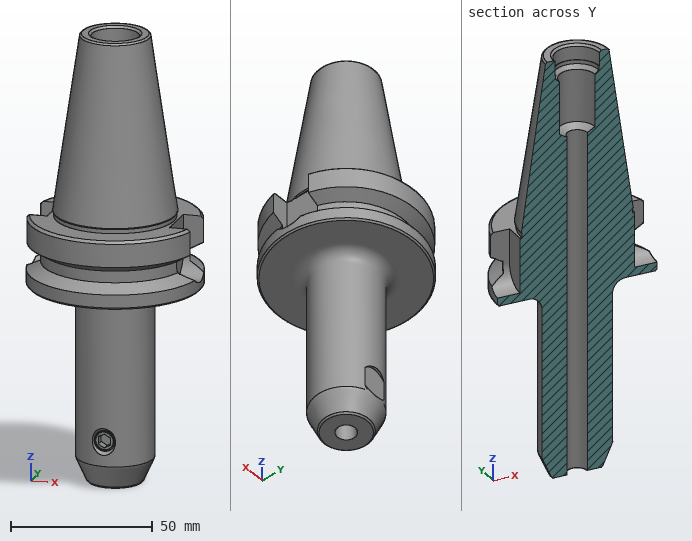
import cadquery as cq
import math

TOTAL_HEIGHT = 165.4
GAUGE_Z = 100.0
FLANGE_TOP_Z = 98.0
FLANGE_BOTTOM_Z = 73.0

TAPER_RATIO = 7 / 24
GAUGE_RADIUS = 22.2
TAPER_TOP_RADIUS = GAUGE_RADIUS - (TOTAL_HEIGHT - GAUGE_Z) * TAPER_RATIO / 2
TAPER_EDGE_CHAMFER = 0.7
RELIEF_RADIUS = 21.8
RELIEF_TOP_Z = GAUGE_Z - 0.5

FLANGE_DIAMETER = 63.0
FLANGE_RADIUS = FLANGE_DIAMETER / 2
UPPER_RIM_RADIUS = 31.3
RIM_CHAMFER = 1.0
LOWER_EDGE_CHAMFER = 0.7
GROOVE_RADIUS = 26.5
GROOVE_TOP_Z = 88.5
GROOVE_FLOOR_TOP_Z = 85.7
GROOVE_FLOOR_BOTTOM_Z = 81.4
GROOVE_BOTTOM_Z = 78.4

SLOT_WIDTH = 16.2
SLOT_FLOOR_X = 22.7
SLOT_BOTTOM_Z = 76.4

SHANK_RADIUS = 14.0
SHANK_FILLET = 5.0
SHANK_BOTTOM_Z = 9.3
NOSE_TOP_Z = 8.3
NOSE_TOP_RADIUS = 13.7
NOSE_RADIUS = 10.3
NOSE_CHAMFER = 0.7

PILOT_RADIUS = 8.6
PILOT_DEPTH = 6.1
PILOT_CHAMFER = 0.8
LEAD_IN_RADIUS = 8.5
LEAD_IN_DEPTH = 7.6
THREAD_RADIUS = 7.0
THREAD_DEPTH = 29.8
DRILL_CONE_ANGLE = 30
BORE_RADIUS = 4.0

SCREW_Z = 18.4
SCREW_HOLE_RADIUS = 3.8
SCREW_RADIUS = 3.3
SCREW_FACE_Y = -12.9
SCREW_GROOVE_DEPTH = 0.5
SCREW_CUT_MARGIN = 0.8
SOCKET_FLATS = 4.5
SOCKET_DEPTH = 3.3

RECESS_RADIUS = 6.6
RECESS_Z = 15.5
RECESS_FLOOR_Y = 13.0


def make_body():
    """Turned outline: nose, shank, grooved flange and taper."""
    fillet_start_z = FLANGE_BOTTOM_Z - SHANK_FILLET
    fillet_center_r = SHANK_RADIUS + SHANK_FILLET
    arc_offset = SHANK_FILLET * math.sqrt(0.5)
    return (
        cq.Workplane("XZ")
        .moveTo(0, 0)
        .lineTo(NOSE_RADIUS - NOSE_CHAMFER, 0)
        .lineTo(NOSE_RADIUS, NOSE_CHAMFER)
        .lineTo(NOSE_TOP_RADIUS, NOSE_TOP_Z)
        .lineTo(SHANK_RADIUS, SHANK_BOTTOM_Z)
        .lineTo(SHANK_RADIUS, fillet_start_z)
        .threePointArc(
            (fillet_center_r - arc_offset, fillet_start_z + arc_offset),
            (fillet_center_r, FLANGE_BOTTOM_Z),
        )
        .lineTo(FLANGE_RADIUS - LOWER_EDGE_CHAMFER, FLANGE_BOTTOM_Z)
        .lineTo(FLANGE_RADIUS, FLANGE_BOTTOM_Z + LOWER_EDGE_CHAMFER)
        .lineTo(FLANGE_RADIUS, GROOVE_BOTTOM_Z)
        .lineTo(GROOVE_RADIUS, GROOVE_FLOOR_BOTTOM_Z)
        .lineTo(GROOVE_RADIUS, GROOVE_FLOOR_TOP_Z)
        .lineTo(UPPER_RIM_RADIUS, GROOVE_TOP_Z)
        .lineTo(UPPER_RIM_RADIUS, FLANGE_TOP_Z - RIM_CHAMFER)
        .lineTo(UPPER_RIM_RADIUS - RIM_CHAMFER, FLANGE_TOP_Z)
        .lineTo(RELIEF_RADIUS, FLANGE_TOP_Z)
        .lineTo(RELIEF_RADIUS, RELIEF_TOP_Z)
        .lineTo(GAUGE_RADIUS, GAUGE_Z)
        .lineTo(TAPER_TOP_RADIUS, TOTAL_HEIGHT - TAPER_EDGE_CHAMFER)
        .lineTo(TAPER_TOP_RADIUS - TAPER_EDGE_CHAMFER, TOTAL_HEIGHT)
        .lineTo(0, TOTAL_HEIGHT)
        .close()
        .revolve(360, (0, 0, 0), (0, 1, 0))
    )


def make_axial_bore():
    """Through hole that widens into a thread hole, a conical lead-in and a chamfered pilot."""
    pilot_floor_z = TOTAL_HEIGHT - PILOT_DEPTH
    thread_floor_z = TOTAL_HEIGHT - THREAD_DEPTH
    cone_slope = math.tan(math.radians(DRILL_CONE_ANGLE))
    thread_cone_height = (THREAD_RADIUS - BORE_RADIUS) * cone_slope
    lead_in_floor_z = TOTAL_HEIGHT - LEAD_IN_DEPTH
    lead_in_cone_height = LEAD_IN_RADIUS - THREAD_RADIUS
    return (
        cq.Workplane("XZ")
        .moveTo(0, 0)
        .lineTo(BORE_RADIUS, 0)
        .lineTo(BORE_RADIUS, thread_floor_z - thread_cone_height)
        .lineTo(THREAD_RADIUS, thread_floor_z)
        .lineTo(THREAD_RADIUS, lead_in_floor_z - lead_in_cone_height)
        .lineTo(LEAD_IN_RADIUS, lead_in_floor_z)
        .lineTo(LEAD_IN_RADIUS, pilot_floor_z)
        .lineTo(PILOT_RADIUS, pilot_floor_z)
        .lineTo(PILOT_RADIUS, TOTAL_HEIGHT - PILOT_CHAMFER)
        .lineTo(PILOT_RADIUS + PILOT_CHAMFER, TOTAL_HEIGHT)
        .lineTo(0, TOTAL_HEIGHT)
        .close()
        .revolve(360, (0, 0, 0), (0, 1, 0))
    )


def make_drive_slot(side):
    """Round-bottomed slot through the rim; side is +1 or -1 along X."""
    round_center_z = SLOT_BOTTOM_Z + SLOT_WIDTH / 2
    return (
        cq.Workplane("YZ", origin=(side * SLOT_FLOOR_X, 0, 0))
        .moveTo(-SLOT_WIDTH / 2, FLANGE_TOP_Z)
        .lineTo(-SLOT_WIDTH / 2, round_center_z)
        .threePointArc((0, SLOT_BOTTOM_Z), (SLOT_WIDTH / 2, round_center_z))
        .lineTo(SLOT_WIDTH / 2, FLANGE_TOP_Z)
        .close()
        .extrude(side * FLANGE_RADIUS)
    )


def make_screw_cut():
    """Countersink down to the screw face, a groove around the screw and its hex socket."""
    outer_y = -SHANK_RADIUS - SCREW_CUT_MARGIN
    outer_radius = SCREW_HOLE_RADIUS + SCREW_FACE_Y - outer_y
    countersink = (
        cq.Workplane("XY", origin=(0, 0, SCREW_Z))
        .moveTo(0, SCREW_FACE_Y)
        .lineTo(SCREW_HOLE_RADIUS, SCREW_FACE_Y)
        .lineTo(outer_radius, outer_y)
        .lineTo(0, outer_y)
        .close()
        .revolve(360, (0, 0, 0), (0, 1, 0))
    )
    face = cq.Workplane("XZ", origin=(0, SCREW_FACE_Y, SCREW_Z))
    groove = face.circle(SCREW_HOLE_RADIUS).circle(SCREW_RADIUS).extrude(-SCREW_GROOVE_DEPTH)
    socket_diameter = SOCKET_FLATS / math.cos(math.pi / 6)
    socket = face.transformed(rotate=(0, 0, 30)).polygon(6, socket_diameter).extrude(-SOCKET_DEPTH)
    return countersink.union(groove).union(socket)


def make_recess():
    """Flat-floored round recess opposite the screw."""
    return (
        cq.Workplane("XZ", origin=(0, RECESS_FLOOR_Y, RECESS_Z))
        .circle(RECESS_RADIUS)
        .extrude(-SHANK_RADIUS)
    )


result = make_body().cut(make_axial_bore())
for slot_side in (-1, 1):
    result = result.cut(make_drive_slot(slot_side))
result = result.cut(make_screw_cut()).cut(make_recess())